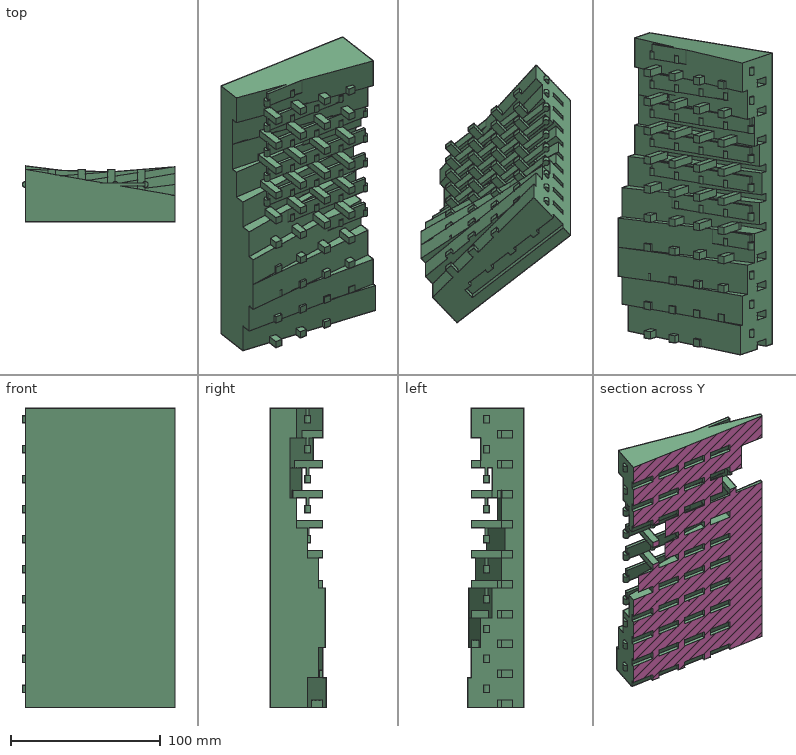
import cadquery as cq
import math

LAYER_COUNT = 10
LAYER_HEIGHT = 20.0
WIDTH = 100.0

WAVE_MEAN = 25.0
WAVE_AMPLITUDE = 12.5

PITCH = 20.0
PITCH_COUNT = 4
RUN_LENGTH = PITCH * PITCH_COUNT

SLOT_HEIGHT = 5.0
SLOT_DEPTH = 10.0
SLOT_CENTER_Y = WAVE_MEAN / 2

BAR_WIDTH = 5.0
BAR_LENGTH = 20.0
BAR_START_Y = WAVE_MEAN - BAR_LENGTH / 2

RAIL_WIDTH = 2.0
RAIL_HEIGHT = 10.0
RAIL_BOTTOM = LAYER_HEIGHT - RAIL_HEIGHT
PEG_RADIUS = 2.0
PEG_HEIGHT = 5.0


def box_at(x, y, z, length, depth, height):
    """Box with its lowest corner at (x, y, z)."""
    return cq.Workplane("XY").box(length, depth, height, centered=False).translate((x, y, z))


def layer_body(index):
    """Four-sided slab whose back edge joins the two waves at this level."""
    angle = 2 * math.pi * index / LAYER_COUNT
    back_left = WAVE_MEAN + WAVE_AMPLITUDE * math.cos(angle)
    back_right = WAVE_MEAN + WAVE_AMPLITUDE * math.sin(angle)
    outline = [(0, 0), (WIDTH, 0), (WIDTH, back_right), (0, back_left)]
    return (
        cq.Workplane("XY")
        .workplane(offset=index * LAYER_HEIGHT)
        .polyline(outline)
        .close()
        .extrude(LAYER_HEIGHT)
    )


def layer_slot(base):
    """Cutter for the slot, open at X=0 and closed at the last station."""
    front = SLOT_CENTER_Y - SLOT_DEPTH / 2
    return box_at(0, front, base, RUN_LENGTH, SLOT_DEPTH, SLOT_HEIGHT)


def layer_bars(base):
    """Bars crossing the slot level, one before each station after the first."""
    bars = cq.Workplane("XY")
    for station in range(1, PITCH_COUNT + 1):
        bar_x = station * PITCH - BAR_WIDTH
        bars = bars.add(box_at(bar_x, BAR_START_Y, base, BAR_WIDTH, BAR_LENGTH, SLOT_HEIGHT))
    return bars.combine()


def layer_rail(base):
    """Rail with a round peg, level with its bottom, at every station."""
    rail = box_at(0, WAVE_MEAN - RAIL_WIDTH / 2, base + RAIL_BOTTOM, RUN_LENGTH, RAIL_WIDTH, RAIL_HEIGHT)
    peg_centers = [(station * PITCH, WAVE_MEAN) for station in range(PITCH_COUNT + 1)]
    pegs = (
        cq.Workplane("XY")
        .workplane(offset=base + RAIL_BOTTOM)
        .pushPoints(peg_centers)
        .circle(PEG_RADIUS)
        .extrude(PEG_HEIGHT)
    )
    return rail.union(pegs)


def layer(index):
    """Complete layer: slotted slab, bars, rail and pegs."""
    base = index * LAYER_HEIGHT
    slab = layer_body(index).cut(layer_slot(base))
    return slab.union(layer_bars(base)).union(layer_rail(base))


result = layer(0)
for layer_index in range(1, LAYER_COUNT):
    result = result.union(layer(layer_index))
result = result.clean()